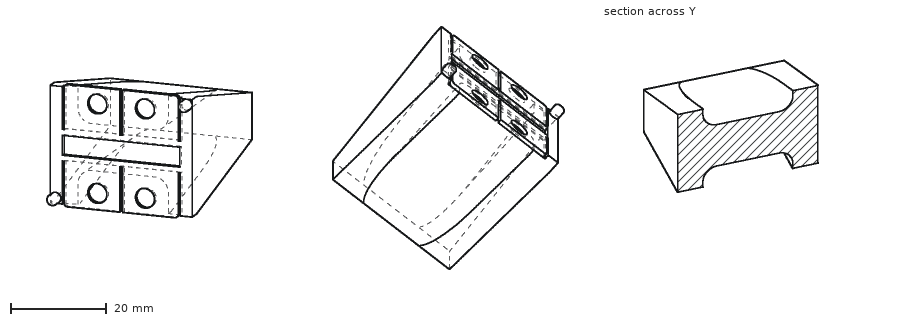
import cadquery as cq

width = 31.75
depth = 35.5
front_height = 25.5
back_height = 10.2
front_land = 2.65

trough_width = 20.2
trough_fillet = 3.1

recess_width = 26.4
recess_depth = 1.06
recess_inner_z = 3.46
tab_thickness = 0.88
tab_outer_x = 12.75
tab_gap = 0.66
tab_overall_height = 26.54
tab_corner_radius = 0.75
tab_hole_diameter = 4.25
tab_hole_x = 5.33
tab_hole_z = 9.7

pocket_width = 26.2
pocket_height = 4.32
pocket_depth = 0.9

pin_diameter = 2.4
pin_length = 2.36
pin_tip_radius = 0.55


def box(x_min, x_max, y_min, y_max, z_min, z_max):
    """Box given by its limits along each axis."""
    return cq.Workplane("XY").box(
        x_max - x_min, y_max - y_min, z_max - z_min, centered=False
    ).translate((x_min, y_min, z_min))


def make_wedge():
    """Side outline in the YZ plane, extruded across the width."""
    half_front = front_height / 2
    half_back = back_height / 2
    outline = [
        (0, -half_front),
        (front_land, -half_front),
        (depth, -half_back),
        (depth, half_back),
        (front_land, half_front),
        (0, half_front),
    ]
    return cq.Workplane("YZ").polyline(outline).close().extrude(width / 2, both=True)


def make_trough():
    """Upper trough: level floor with rounded lower corners, open at both ends."""
    half_width = trough_width / 2
    trough = box(-half_width, half_width, 0, depth, back_height / 2, front_height)
    return trough.edges("|Y and <Z").fillet(trough_fillet)


def make_recess():
    """Upper recess in the front face that surrounds a pair of tabs."""
    half_width = recess_width / 2
    return box(-half_width, half_width, 0, recess_depth, recess_inner_z, front_height)


def make_pocket():
    """Shallow central pocket in the front face."""
    half_width = pocket_width / 2
    half_height = pocket_height / 2
    return box(-half_width, half_width, 0, pocket_depth, -half_height, half_height)


def make_tab():
    """Upper tab on the +X side, flush with the front face."""
    tab = box(tab_gap / 2, tab_outer_x, 0, tab_thickness, recess_inner_z, tab_overall_height / 2)
    tab = tab.edges("|Y and >X and >Z").fillet(tab_corner_radius)
    hole = (
        cq.Workplane("XZ")
        .center(tab_hole_x, tab_hole_z)
        .circle(tab_hole_diameter / 2)
        .extrude(-tab_thickness)
    )
    return tab.cut(hole)


def make_pin():
    """Pin at the upper +X corner, tangent to the top and side of the front face."""
    radius = pin_diameter / 2
    return (
        cq.Workplane("XZ")
        .center(width / 2 - radius, front_height / 2 - radius)
        .circle(radius)
        .extrude(pin_length)
        .faces("<Y")
        .edges()
        .fillet(pin_tip_radius)
    )


def half_turn(shape):
    """Copy turned half a revolution about the Y axis."""
    return shape.rotate((0, 0, 0), (0, 1, 0), 180)


housing = make_wedge()
for cutter in (make_trough(), make_recess()):
    housing = housing.cut(cutter).cut(half_turn(cutter))
housing = housing.cut(make_pocket())

right_tab = make_tab()
for addition in (right_tab, right_tab.mirror("YZ"), make_pin()):
    housing = housing.union(addition, clean=False).union(half_turn(addition), clean=False)

result = housing